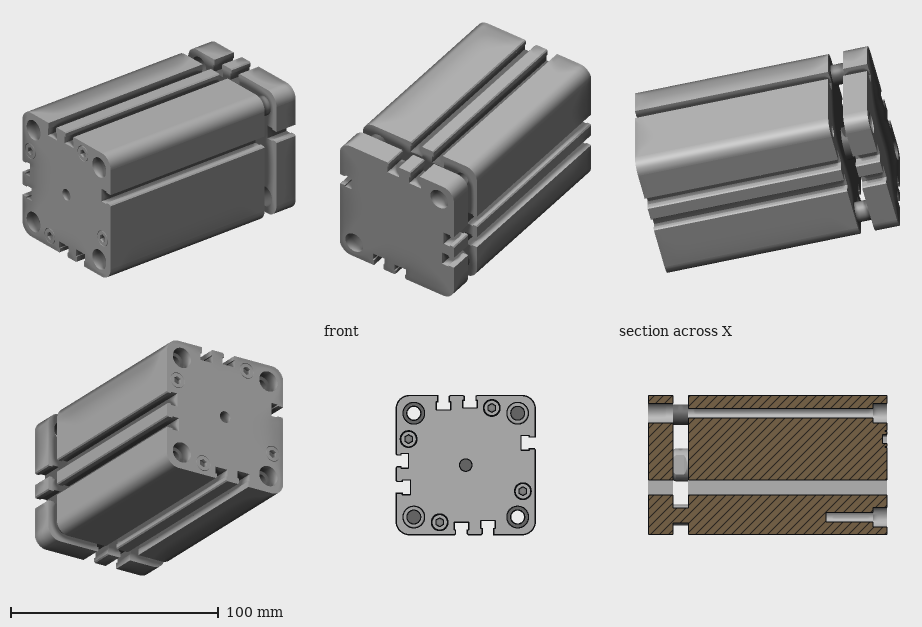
import cadquery as cq


total_length = 115.0
side = 67.0
half_side = side / 2
corner_radius = 6.5

plate_thickness = 12.0
rod_gap = 7.4
body_length = total_length - plate_thickness - rod_gap
rear_y = -total_length / 2
body_front_y = rear_y + body_length
plate_y = body_front_y + rod_gap

slot_mouth_width = 5.5
slot_inner_width = 6.9
slot_mouth_chamfer = 0.6
deep_slot_offset = -10.7
deep_slot_lip = 3.1
deep_slot_depth = 6.9
shallow_slot_offset = 2.1
shallow_slot_lip = 2.4
shallow_slot_depth = 6.0
slot_side_angles = (0, 90, 180, 270)
plain_shallow_angle = 270

mount_offset = 25.0
mount_bore_diameter = 6.7
mount_counterbore_diameter = 10.5
mount_counterbore_depth = 6.7
blind_mount_depth = 29.4
through_corners = ((-1, 1), (1, -1))
guide_corners = ((1, 1), (-1, -1))

screw_near = 12.5
screw_far = 27.5
screw_places = (
    (screw_near, screw_far),
    (-screw_far, screw_near),
    (-screw_near, -screw_far),
    (screw_far, -screw_near),
)
screw_recess_diameter = 8.0
screw_head_diameter = 7.5
screw_ring_depth = 1.0
socket_corner_diameter = 4.3
socket_depth = 2.3
socket_spin = 30

centre_hole_diameter = 6.0
centre_hole_depth = 12.0

piston_rod_diameter = 16.0
flat_width = 13.0
flat_length = 5.4
rod_end_chamfer_length = 1.5
rod_end_chamfer_height = 0.7

guide_rod_diameter = 10.0
guide_rod_offset = 24.2


def plane_at(y):
    """Sketch plane at a given Y: local x is +X, local y is +Z and the normal is -Y."""
    return cq.Workplane("XZ", origin=(0, y, 0))


def cylinder(x, z, diameter, start_y, length):
    """Round bar that runs from start_y towards +Y."""
    return plane_at(start_y).center(x, z).circle(diameter / 2).extrude(-length)


def rounded_block(start_y, length):
    block = plane_at(start_y).rect(side, side).extrude(-length)
    return block.edges("|Y").fillet(corner_radius)


def t_slot(offset, lip, depth, chamfered_lips):
    """T-slot cutter along the whole length, open towards +Z.

    chamfered_lips lists the lips with a chamfered edge: -1 on the -X side, 1 on the +X side.
    """
    slot_plane = plane_at(rear_y).center(offset, half_side)
    mouth = slot_plane.center(0, -depth / 2).rect(slot_mouth_width, depth)
    cutter = mouth.extrude(-total_length)
    undercut = slot_plane.center(0, -(lip + depth) / 2).rect(slot_inner_width, depth - lip)
    cutter = cutter.union(undercut.extrude(-total_length))
    for sign in chamfered_lips:
        edge_x = sign * slot_mouth_width / 2
        wedge_profile = [
            (edge_x, 0),
            (edge_x + sign * slot_mouth_chamfer, 0),
            (edge_x, -slot_mouth_chamfer),
        ]
        wedge = slot_plane.polyline(wedge_profile).close().extrude(-total_length)
        cutter = cutter.union(wedge)
    return cutter


def turned(shape, angle):
    """Turn a shape about the stroke axis: +90 carries the +Z side to the -X side."""
    return shape.rotate((0, 0, 0), (0, -1, 0), angle)


def cut_slots(part):
    deep_slot = t_slot(deep_slot_offset, deep_slot_lip, deep_slot_depth, (1,))
    shallow_slot = t_slot(shallow_slot_offset, shallow_slot_lip, shallow_slot_depth, (-1, 1))
    for angle in slot_side_angles:
        part = part.cut(turned(deep_slot, angle))
        if angle != plain_shallow_angle:
            part = part.cut(turned(shallow_slot, angle))
    return part


def cut_mount_holes(body):
    bores = [(corner, body_length) for corner in through_corners]
    bores += [(corner, blind_mount_depth) for corner in guide_corners]
    for (sign_x, sign_z), bore_depth in bores:
        x = sign_x * mount_offset
        z = sign_z * mount_offset
        body = body.cut(cylinder(x, z, mount_bore_diameter, rear_y, bore_depth))
        body = body.cut(cylinder(x, z, mount_counterbore_diameter, rear_y, mount_counterbore_depth))
    return body


def cut_screws(body):
    """Ring-shaped clearance and a hexagon socket for each flush screw head."""
    for x, z in screw_places:
        ring = cylinder(x, z, screw_recess_diameter, rear_y, screw_ring_depth)
        head = cylinder(x, z, screw_head_diameter, rear_y, screw_ring_depth)
        hexagon = plane_at(rear_y).center(x, z).transformed(rotate=(0, 0, socket_spin))
        socket = hexagon.polygon(6, socket_corner_diameter).extrude(-socket_depth)
        body = body.cut(ring.cut(head)).cut(socket)
    return body


def make_body():
    body = cut_slots(rounded_block(rear_y, body_length))
    body = cut_mount_holes(body)
    body = cut_screws(body)
    return body.cut(cylinder(0, 0, centre_hole_diameter, rear_y, centre_hole_depth))


def make_plate():
    plate = cut_slots(rounded_block(plate_y, plate_thickness))
    for sign_x, sign_z in through_corners:
        hole = cylinder(
            sign_x * mount_offset,
            sign_z * mount_offset,
            mount_counterbore_diameter,
            plate_y,
            plate_thickness,
        )
        plate = plate.cut(hole)
    return plate


def make_piston_rod():
    radius = piston_rod_diameter / 2
    half_flat = flat_width / 2
    flat_start_y = plate_y - flat_length
    runout_y = flat_start_y - (radius - half_flat)
    half_profile = [
        (0, body_front_y),
        (radius, body_front_y),
        (radius, plate_y - rod_end_chamfer_length),
        (radius - rod_end_chamfer_height, plate_y),
        (0, plate_y),
    ]
    rod = cq.Workplane("XY").polyline(half_profile).close().revolve(360, (0, 0), (0, 1))
    flats_outline = [
        (radius, body_front_y),
        (radius, runout_y),
        (half_flat, flat_start_y),
        (half_flat, plate_y),
        (-half_flat, plate_y),
        (-half_flat, flat_start_y),
        (-radius, runout_y),
        (-radius, body_front_y),
    ]
    envelope = cq.Workplane("XY").polyline(flats_outline).close().extrude(radius, both=True)
    return rod.intersect(envelope)


def make_guide_rod(sign_x, sign_z):
    x = sign_x * guide_rod_offset
    z = sign_z * guide_rod_offset
    return cylinder(x, z, guide_rod_diameter, body_front_y, rod_gap)


result = make_body().union(make_piston_rod()).union(make_plate())
for corner_signs in guide_corners:
    result = result.union(make_guide_rod(*corner_signs))